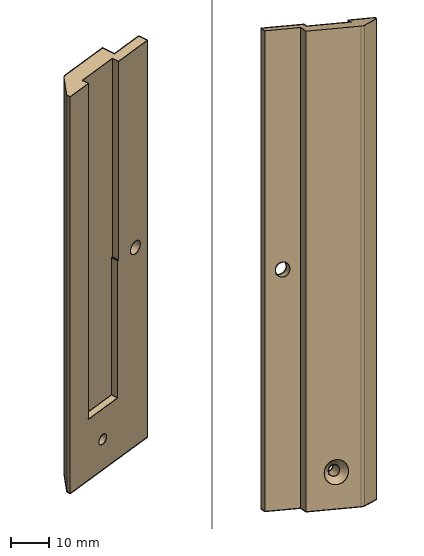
import cadquery as cq

thickness = 7.0
width = 31.8
length = 130.0

ledge_width = 10.0
ledge_thickness = 3.0
tip_thickness = 1.2
bevel = thickness - tip_thickness
bevel_round = 1.5
tip_round = 0.5

pocket_depth = 2.1
pocket_width = 12.0
pocket_start = 7.5
pocket_step = 0.4
pocket_step_height = 65.0
pocket_floor = 20.0

ledge_hole_diameter = 4.0
screw_hole_diameter = 3.1
countersink_diameter = 6.8
countersink_angle = 90.0
screw_hole_height = 10.0
screw_hole_y = 13.4


def plate():
    """Stepped bar with a bevelled long edge."""
    ledge_x = thickness - ledge_thickness
    ledge_y = width - ledge_width
    outline = [
        (thickness, 0),
        (thickness, width),
        (ledge_x, width),
        (ledge_x, ledge_y),
        (0, ledge_y),
        (0, bevel),
        (bevel, 0),
    ]
    body = cq.Workplane("XY").polyline(outline).close().extrude(length)
    bevel_corner = cq.selectors.NearestToPointSelector((0, bevel, length / 2))
    tip_corner = cq.selectors.NearestToPointSelector((bevel, 0, length / 2))
    return body.edges(bevel_corner).fillet(bevel_round).edges(tip_corner).fillet(tip_round)


def pocket_cutter(cut_width, bottom, top):
    """Block removed from the back face between two heights."""
    return cq.Workplane("XY").box(pocket_depth, cut_width, top - bottom, centered=False).translate(
        (thickness - pocket_depth, pocket_start, bottom)
    )


def cut_holes(body):
    """Plain hole in the ledge and a countersunk hole in the thick part."""
    side_plane = cq.Workplane("YZ")
    ledge_hole = (
        side_plane.center(width - ledge_width / 2, length / 2)
        .circle(ledge_hole_diameter / 2)
        .extrude(thickness)
    )
    screw_plane = cq.Plane((0, screw_hole_y, screw_hole_height), (0, -1, 0), (-1, 0, 0))
    return (
        body.cut(ledge_hole)
        .copyWorkplane(cq.Workplane(screw_plane))
        .cskHole(screw_hole_diameter, countersink_diameter, countersink_angle)
    )


lower_pocket = pocket_cutter(pocket_width, pocket_floor, pocket_step_height)
upper_pocket = pocket_cutter(pocket_width + pocket_step, pocket_step_height, length)
result = cut_holes(plate().cut(lower_pocket).cut(upper_pocket))